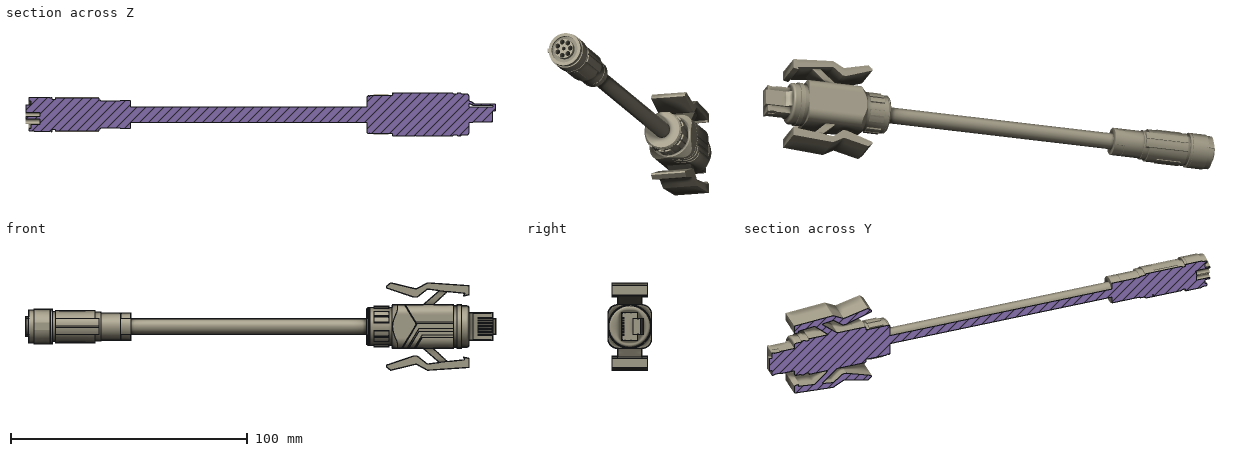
import cadquery as cq
import math

OVERALL_LENGTH = 198.5
LINE_GROOVE = 0.3
OVERLAP = 0.5

NOSE_RADIUS = 4.15
SLEEVE_START = 1.2
SLEEVE_RADIUS = 7.0
SLEEVE_GROOVE_RADIUS = 5.7
SLEEVE_GROOVE_DEPTH = 1.0
NUT_START = 3.6
NUT_RIM = 10.2
NUT_END = 11.3
NUT_RADIUS = 7.4
NUT_FLAT_WIDTH = 3.3
NECK_RADIUS = 6.4
KEY_WIDTH = 1.6
SOCKET_BODY_START = 12.5
SOCKET_BODY_END = 29.3
SOCKET_BODY_RADIUS = 6.87
SHOULDER_RADIUS = 6.2
SHOULDER_END = 31.7
BOOT_RADIUS = 5.8
BOOT_PAD_START = 40.0
BOOT_END = 44.4
BOOT_PAD_RADIUS = 5.95
GRIP_END = 31.0
GRIP_WIDTH = 6.6
GRIP_SLIT_WIDTH = 0.6
GRIP_SLIT_DEPTH = 0.4
LABEL_START = 14.2
LABEL_LENGTH = 10.8
LABEL_WIDTH = 4.2
PIN_COUNT = 7
PIN_CIRCLE_RADIUS = 2.95
PIN_RADIUS = 1.05
CENTRE_PIN_RADIUS = 0.8
PIN_DEPTH = 6.0

CABLE_RADIUS = 3.4

CLAMP_START = 144.0
CLAMP_END = 154.7
CLAMP_RADIUS = 8.1
CLAMP_CHAMFER = 0.6
CLAMP_GROOVE_START = 145.0
RIB_START = 147.0
RIB_END = 153.3
RIB_RADIUS = 8.7
RIB_PAIR_COUNT = 6
RIB_PAIR_WIDTH = 5.2
RIB_GAP = 0.7
RIB_ROOT = 6.5

BODY_END = 180.6
BODY_SIZE = 18.52
BODY_CORNER = 4.2
BODY_FACE = BODY_SIZE / 2
BODY_LEAD_RADIUS = 9.0
COLLAR_END = 187.2
COLLAR_RADIUS = 8.8
COLLAR_FILLET = 1.0
FLANGE_START = 182.2
FLANGE_END = 184.0
FLANGE_RADIUS = BODY_FACE
GROOVE_DEPTH = 0.3
PARTING_WIDTH = 0.3
PARTING_TIP = 164.9
PARTING_TIP_Z = 1.0
CHEVRON_SLOPE = 0.6
GRIP_GROOVES = ((-0.9, -2.1, 166.0), (-3.6, -4.6, 167.4))
UPPER_GROOVE_Z = 1.25
UPPER_GROOVE_WIDTH = 0.6

CLIP_WIDTH = 15.0
CLIP_TOP = 18.5
CLIP_REAR = COLLAR_END
STRUT_WIDTH = 10.2

INSERT_END = 197.3
INSERT_HALF_HEIGHT = 5.84
INSERT_BACK_Y = 3.3
INSERT_FRONT_Y = -3.4
INSERT_STEP_X = 188.8
INSERT_STEP = 0.2
SIDE_RECESS = 0.3
SIDE_LEDGE_Y = -2.1
SIDE_RECESS_END = 196.3
SIDE_NOTCH_START = 193.5
SIDE_NOTCH_Y = 0.6
CONTACT_COUNT = 8
CONTACT_PITCH = 1.02
CONTACT_WIDTH = 0.5
CONTACT_DEPTH = 0.8
CONTACT_START = 190.9
CONTACT_END = 197.0
LATCH_WIDTH = 6.6


def rod(x_start, x_end, radius):
    return cq.Workplane("YZ", origin=(x_start, 0, 0)).circle(radius).extrude(x_end - x_start)


def block(x_span, y_span, z_span):
    (x0, x1), (y0, y1), (z0, z1) = x_span, y_span, z_span
    return cq.Workplane("XY").box(x1 - x0, y1 - y0, z1 - z0, centered=False).translate((x0, y0, z0))


def mirrored_pair(solid, plane):
    return solid.union(solid.mirror(plane))


def turned_groove(x_start, surface_radius):
    """Ring that cuts a fine groove into a cylinder of the given radius."""
    x_end = x_start + LINE_GROOVE
    outside = rod(x_start, x_end, surface_radius + OVERLAP)
    return outside.cut(rod(x_start, x_end, surface_radius - LINE_GROOVE))


def side_slab(x_start, x_end, width):
    """Slab of the given Z width that crosses the whole part along Y."""
    return block((x_start, x_end), (-BODY_SIZE, BODY_SIZE), (-width / 2, width / 2))


def socket_front():
    nose = rod(0, NUT_START, NOSE_RADIUS)
    sleeve = rod(SLEEVE_START, NUT_START + OVERLAP, SLEEVE_RADIUS)
    moat_end = SLEEVE_START + SLEEVE_GROOVE_DEPTH
    moat = rod(SLEEVE_START, moat_end, SLEEVE_GROOVE_RADIUS)
    key = block(
        (SLEEVE_START, NUT_START + OVERLAP),
        (SLEEVE_GROOVE_RADIUS + OVERLAP, NUT_RADIUS),
        (-KEY_WIDTH / 2, KEY_WIDTH / 2),
    )
    front = sleeve.union(key).cut(moat).union(nose)
    holes = cq.Workplane("YZ").circle(CENTRE_PIN_RADIUS).extrude(PIN_DEPTH)
    ring = cq.Workplane("YZ").polarArray(PIN_CIRCLE_RADIUS, 180, 360, PIN_COUNT)
    holes = holes.union(ring.circle(PIN_RADIUS).extrude(PIN_DEPTH))
    nut = rod(NUT_START, NUT_END, NUT_RADIUS)
    flat_y = -math.sqrt(NUT_RADIUS ** 2 - (NUT_FLAT_WIDTH / 2) ** 2)
    nut = nut.cut(block((NUT_START, NUT_RIM), (-BODY_SIZE, flat_y), (-NUT_RADIUS, NUT_RADIUS)))
    return front.union(nut.cut(turned_groove(NUT_RIM, NUT_RADIUS))).cut(holes)


def socket_body():
    body = rod(NUT_END - OVERLAP, SOCKET_BODY_START + OVERLAP, NECK_RADIUS)
    body = body.union(rod(SOCKET_BODY_START, SOCKET_BODY_END, SOCKET_BODY_RADIUS))
    shoulder = rod(SOCKET_BODY_END - OVERLAP, SHOULDER_END, SHOULDER_RADIUS)
    boot = rod(SHOULDER_END - OVERLAP, BOOT_END, BOOT_RADIUS).cut(turned_groove(BOOT_PAD_START, BOOT_RADIUS))
    body = body.union(shoulder).union(boot)

    grips = rod(SOCKET_BODY_START, GRIP_END, NUT_RADIUS)
    grips = grips.intersect(side_slab(SOCKET_BODY_START, GRIP_END, GRIP_WIDTH))
    slits = side_slab(SOCKET_BODY_START, GRIP_END, GRIP_SLIT_WIDTH)
    slits = slits.cut(rod(SOCKET_BODY_START, GRIP_END, NUT_RADIUS - GRIP_SLIT_DEPTH))
    boot_pads = rod(BOOT_PAD_START, BOOT_END, BOOT_PAD_RADIUS)
    boot_pads = boot_pads.intersect(side_slab(BOOT_PAD_START, BOOT_END, GRIP_WIDTH))
    labels = block(
        (LABEL_START, LABEL_START + LABEL_LENGTH),
        (-LABEL_WIDTH / 2, LABEL_WIDTH / 2),
        (-SOCKET_BODY_RADIUS, SOCKET_BODY_RADIUS),
    )
    return body.union(grips).cut(slits).union(boot_pads).union(labels)


def clamp_nut():
    nut = rod(CLAMP_START, CLAMP_END + OVERLAP, CLAMP_RADIUS).faces("<X").chamfer(CLAMP_CHAMFER)
    nut = nut.cut(turned_groove(CLAMP_GROOVE_START, CLAMP_RADIUS))
    rib = block(
        (RIB_START, RIB_END),
        (RIB_GAP / 2, RIB_PAIR_WIDTH / 2),
        (RIB_ROOT, RIB_RADIUS),
    )
    rib_pair = mirrored_pair(rib.intersect(rod(RIB_START, RIB_END, RIB_RADIUS)), "XZ")
    for number in range(RIB_PAIR_COUNT):
        angle = 360 / RIB_PAIR_COUNT * number
        nut = nut.union(rib_pair.rotate((0, 0, 0), (1, 0, 0), angle))
    return nut


def square_prism(inset):
    size = BODY_SIZE - 2 * inset
    profile = cq.Workplane("YZ", origin=(CLAMP_END, 0, 0)).rect(size, size)
    return profile.extrude(BODY_END - CLAMP_END).edges("|X").fillet(BODY_CORNER - inset)


def side_skin(outline):
    """Extrude an XZ outline through the -Y half and keep only the skin to be grooved."""
    prism = cq.Workplane("XZ").polyline(outline).close().extrude(BODY_SIZE)
    return prism.cut(square_prism(GROOVE_DEPTH))


def chevron_x(tip_x, tip_z, z):
    return tip_x - CHEVRON_SLOPE * abs(z - tip_z)


def parting_groove():
    ends = (BODY_FACE, PARTING_TIP_Z, -BODY_FACE)
    front = [(chevron_x(PARTING_TIP, PARTING_TIP_Z, z), z) for z in ends]
    back = [(x + PARTING_WIDTH, z) for x, z in reversed(front)]
    return side_skin(front + back)


def bent_groove(top_z, bottom_z, bend_x):
    leg_width = (top_z - bottom_z) * CHEVRON_SLOPE
    foot_x = chevron_x(bend_x, top_z, -BODY_FACE)
    return side_skin([
        (BODY_END, top_z),
        (bend_x, top_z),
        (foot_x, -BODY_FACE),
        (foot_x + leg_width, -BODY_FACE),
        (bend_x, bottom_z),
        (BODY_END, bottom_z),
    ])


def plug_body():
    body = square_prism(0)
    lead_length = BODY_END - CLAMP_END
    lead_cone = cq.Workplane("XY").polyline([
        (CLAMP_END, 0),
        (CLAMP_END, BODY_LEAD_RADIUS),
        (BODY_END, BODY_LEAD_RADIUS + lead_length),
        (BODY_END, 0),
    ]).close().revolve(360, (0, 0, 0), (1, 0, 0))
    body = body.intersect(lead_cone)

    body = body.cut(parting_groove())
    for top_z, bottom_z, bend_x in GRIP_GROOVES:
        body = body.cut(bent_groove(top_z, bottom_z, bend_x))
    upper_top = UPPER_GROOVE_Z + UPPER_GROOVE_WIDTH
    body = body.cut(side_skin([
        (PARTING_TIP, UPPER_GROOVE_Z),
        (BODY_END, UPPER_GROOVE_Z),
        (BODY_END, upper_top),
        (PARTING_TIP, upper_top),
    ]))

    collar = rod(BODY_END - OVERLAP, COLLAR_END, COLLAR_RADIUS).faces(">X").edges().fillet(COLLAR_FILLET)
    return body.union(collar).union(rod(FLANGE_START, FLANGE_END, FLANGE_RADIUS))


def release_clip():
    arm = cq.Workplane("XZ", origin=(0, CLIP_WIDTH / 2, 0)).polyline([
        (152.3, 17.0),
        (154.1, CLIP_TOP),
        (164.9, 15.9),
        (169.7, CLIP_TOP),
        (CLIP_REAR, 17.3),
        (CLIP_REAR, 13.4),
        (184.9, 12.9),
        (185.3, 14.0),
        (176.5, 14.9),
        (169.6, 15.8),
        (165.3, 12.4),
        (163.8, 12.4),
        (152.3, 16.3),
    ]).close().extrude(CLIP_WIDTH)
    strut = cq.Workplane("XZ", origin=(0, STRUT_WIDTH / 2, 0)).polyline([
        (167.3, BODY_FACE - OVERLAP),
        (174.9, 15.4),
        (178.4, 15.1),
        (171.6, BODY_FACE - OVERLAP),
    ]).close().extrude(STRUT_WIDTH)
    return arm.union(strut)


def latch():
    return cq.Workplane("XY", origin=(0, 0, -LATCH_WIDTH / 2)).polyline([
        (COLLAR_END - OVERLAP, 5.9),
        (188.0, 5.6),
        (189.6, 4.6),
        (OVERALL_LENGTH, 4.6),
        (OVERALL_LENGTH, 1.4),
        (INSERT_END, 1.4),
        (INSERT_END, 3.7),
        (189.0, 3.7),
        (COLLAR_END - OVERLAP, 4.8),
    ]).close().extrude(LATCH_WIDTH)


def rj45_insert():
    insert = block(
        (COLLAR_END - OVERLAP, INSERT_END),
        (INSERT_FRONT_Y, INSERT_BACK_Y),
        (-INSERT_HALF_HEIGHT, INSERT_HALF_HEIGHT),
    )
    insert = insert.cut(block(
        (INSERT_STEP_X, INSERT_END),
        (INSERT_FRONT_Y, INSERT_FRONT_Y + INSERT_STEP),
        (-INSERT_HALF_HEIGHT, INSERT_HALF_HEIGHT),
    ))
    recess_z = (INSERT_HALF_HEIGHT - SIDE_RECESS, INSERT_HALF_HEIGHT)
    ledge = block((INSERT_STEP_X, SIDE_RECESS_END), (INSERT_FRONT_Y, SIDE_LEDGE_Y), recess_z)
    notch = block((SIDE_NOTCH_START, SIDE_RECESS_END), (SIDE_NOTCH_Y, INSERT_BACK_Y), recess_z)
    insert = insert.cut(mirrored_pair(ledge, "XY")).cut(mirrored_pair(notch, "XY"))

    for number in range(CONTACT_COUNT):
        z = (number - (CONTACT_COUNT - 1) / 2) * CONTACT_PITCH
        insert = insert.cut(block(
            (CONTACT_START, CONTACT_END),
            (INSERT_FRONT_Y, INSERT_FRONT_Y + INSERT_STEP + CONTACT_DEPTH),
            (z - CONTACT_WIDTH / 2, z + CONTACT_WIDTH / 2),
        ))
    return insert.union(latch())


cable = rod(BOOT_END - OVERLAP, CLAMP_START + OVERLAP, CABLE_RADIUS)
socket = socket_front().union(socket_body())
plug = clamp_nut().union(plug_body()).union(mirrored_pair(release_clip(), "XY")).union(rj45_insert())
result = socket.union(cable).union(plug)